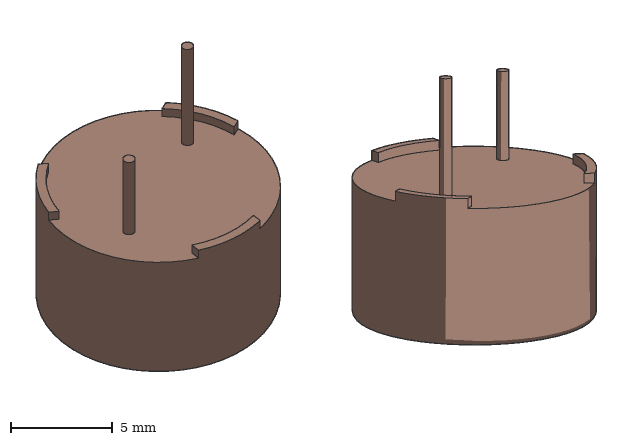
import cadquery as cq

OUTER_DIAMETER = 12.0
WALL = 0.5
RIM_HEIGHT = 7.0
BOTTOM_FILLET = 0.3
DISH_DEPTH = 0.39
TAB_COUNT = 3
TAB_WIDTH = 3.82
TAB_HEIGHT = 0.5
PIN_DIAMETER = 0.6
PIN_OFFSET = 3.8
LONG_PIN_TOP = 13.0
SHORT_PIN_TOP = 11.5

outer_radius = OUTER_DIAMETER / 2
inner_radius = outer_radius - WALL
pin_bottom = RIM_HEIGHT
dish_radius = (inner_radius**2 + DISH_DEPTH**2) / (2 * DISH_DEPTH)

pin_layout = [(PIN_OFFSET, LONG_PIN_TOP), (-PIN_OFFSET, SHORT_PIN_TOP)]


def make_pin(y, top):
    """Round upright pin with flat ends, starting level with the rim."""
    return (
        cq.Workplane("XY", origin=(0, y, pin_bottom))
        .circle(PIN_DIAMETER / 2)
        .extrude(top - pin_bottom)
    )


def make_tab(angle):
    """Raised piece of the rim with parallel ends, turned about Z from the +Y side."""
    ring = (
        cq.Workplane("XY", origin=(0, 0, RIM_HEIGHT))
        .circle(outer_radius)
        .circle(inner_radius)
        .extrude(TAB_HEIGHT)
    )
    strip = (
        cq.Workplane("XY", origin=(0, outer_radius / 2, RIM_HEIGHT))
        .rect(TAB_WIDTH, outer_radius)
        .extrude(TAB_HEIGHT)
    )
    return ring.intersect(strip).rotate((0, 0, 0), (0, 0, 1), angle)


def make_housing():
    """Round housing with a dished top and rim tabs."""
    body = (
        cq.Workplane("XY")
        .circle(outer_radius)
        .extrude(RIM_HEIGHT)
        .faces("<Z")
        .edges()
        .fillet(BOTTOM_FILLET)
    )

    dish = (
        cq.Workplane("XZ")
        .moveTo(0, RIM_HEIGHT)
        .lineTo(inner_radius, RIM_HEIGHT)
        .radiusArc((0, RIM_HEIGHT - DISH_DEPTH), dish_radius)
        .close()
        .revolve(360, (0, 0), (0, 1))
    )
    body = body.cut(dish)

    for index in range(TAB_COUNT):
        body = body.union(make_tab(index * 360 / TAB_COUNT))
    return body


housing = make_housing()
pins = [make_pin(y, top) for y, top in pin_layout]

result = cq.Compound.makeCompound([housing.val(), *[pin.val() for pin in pins]])